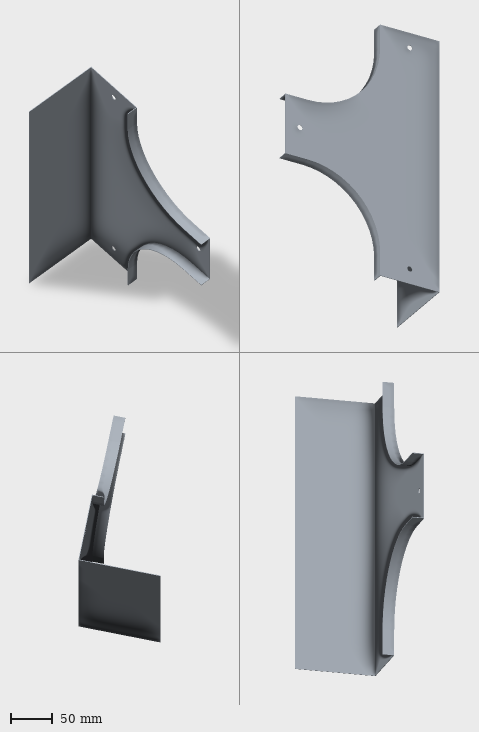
import cadquery as cq

length = 342.0
width = 212.0
side_depth = 100.0
lip_depth = 14.5
sheet = 0.8

bend_radius = 99.2
straight_end = 31.0
hole_diameter = 7.0
hole_inset = 20.2

trunk_width = width - bend_radius - straight_end
branch_half = length / 2 - bend_radius - straight_end


def corner_cutter(side, offset, depth):
    """Solid filling the free corner above (side=1) or below (side=-1) the branch.

    A positive offset grows it into the tee; it starts at the back face Y=0.
    """
    edge_x = trunk_width - offset
    edge_z = branch_half - offset
    radius = bend_radius + offset
    center_x = edge_x + radius
    center_z = edge_z + radius
    mid_shift = radius * 0.5 ** 0.5
    return (
        cq.Workplane("XZ")
        .moveTo(edge_x, side * length / 2)
        .lineTo(edge_x, side * center_z)
        .threePointArc(
            (center_x - mid_shift, side * (center_z - mid_shift)),
            (center_x, side * edge_z),
        )
        .lineTo(width, side * edge_z)
        .lineTo(width, side * length / 2)
        .close()
        .extrude(depth)
    )


def back_block(size_x, depth):
    """Full-length block from X=0, reaching from Y=0 towards -Y."""
    block = cq.Workplane("XY").box(size_x, depth, length, centered=(False, False, True))
    return block.translate((0, -depth, 0))


tee = back_block(width, sheet)
for side in (1, -1):
    tee = tee.cut(corner_cutter(side, 0, sheet))

wall = back_block(sheet, side_depth)
result = tee.union(wall)

for side in (1, -1):
    lip = corner_cutter(side, sheet, lip_depth).cut(corner_cutter(side, 0, lip_depth))
    result = result.union(lip)

hole_centers = [
    (trunk_width / 2, length / 2 - hole_inset),
    (trunk_width / 2, hole_inset - length / 2),
    (width - hole_inset, 0),
]
holes = (
    cq.Workplane("XZ")
    .pushPoints(hole_centers)
    .circle(hole_diameter / 2)
    .extrude(sheet)
)
result = result.cut(holes)